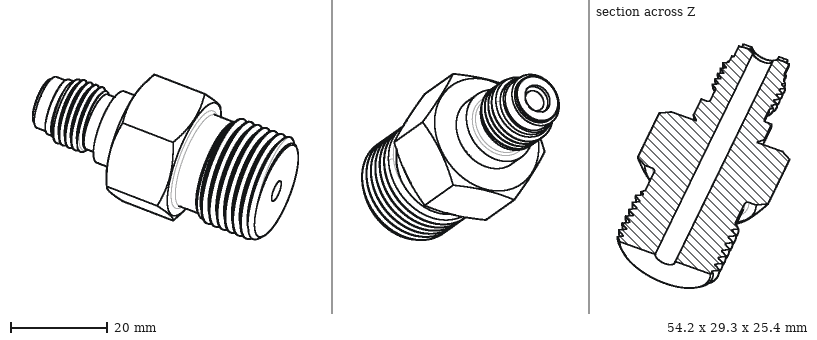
import cadquery as cq
import math


WASHER_THICKNESS = 0.8
WASHER_RADIUS = 5.05
WASHER_BORE_RADIUS = 3.0
WASHER_CHAMFER = 0.15

PILOT_END = 3.6
SMALL_THREAD_START = 4.9
SMALL_THREAD_END = 12.55
COLLAR_START = 15.65
HEX_START = 20.9
HEX_END = 35.1
LARGE_THREAD_START = 40.6
BODY_END = 54.15

BORE_RADIUS = 2.2
PILOT_RADIUS = 5.7
SMALL_NECK_RADIUS = 6.1
COLLAR_RADIUS = 7.95
LARGE_NECK_RADIUS = 10.2

COLLAR_CHAMFER = 1.1
SMALL_NECK_FILLET = 0.5
LARGE_NECK_FILLET = 0.65
BORE_FLARE_DEPTH = 0.45

HEX_ACROSS_FLATS = 25.4
HEX_CORNER_RADIUS = HEX_ACROSS_FLATS / math.sqrt(3)
HEX_FACE_RADIUS = 12.5
HEX_CHAMFER_ANGLE = math.radians(30)

SMALL_THREAD_RADIUS = 7.15
SMALL_THREAD_PITCH = 1.4
SMALL_THREAD_CREST = 6.3
LARGE_THREAD_RADIUS = 11.5
LARGE_THREAD_PITCH = 10.9 / 6
LARGE_THREAD_CREST = 43.0
THREAD_HALF_ANGLE = math.radians(30)
CREST_FLAT_PER_PITCH = 1 / 8
RIDGE_EMBEDMENT = 0.05


def revolve_about_x(profile):
    """Turn a closed profile, drawn as axial station by radius, about the X axis."""
    return profile.close().revolve(360, (0, 0, 0), (1, 0, 0))


def make_washer():
    """Flat ring with its outer edge chamfered on the exposed face."""
    washer = (
        cq.Workplane("YZ")
        .circle(WASHER_RADIUS)
        .circle(WASHER_BORE_RADIUS)
        .extrude(WASHER_THICKNESS)
    )
    return washer.faces("<X").edges(cq.selectors.RadiusNthSelector(1)).chamfer(WASHER_CHAMFER)


def make_turned_blank():
    """Everything turned on the body except the hex, the thread ridges and the bore."""
    profile = (
        cq.Workplane("XY")
        .moveTo(WASHER_THICKNESS, 0)
        .lineTo(WASHER_THICKNESS, PILOT_RADIUS)
        .lineTo(PILOT_END, PILOT_RADIUS)
        .lineTo(PILOT_END, SMALL_NECK_RADIUS)
        .lineTo(COLLAR_START - SMALL_NECK_FILLET, SMALL_NECK_RADIUS)
        .radiusArc((COLLAR_START, SMALL_NECK_RADIUS + SMALL_NECK_FILLET), -SMALL_NECK_FILLET)
        .lineTo(COLLAR_START, COLLAR_RADIUS)
        .lineTo(HEX_START - COLLAR_CHAMFER, COLLAR_RADIUS)
        .lineTo(HEX_START, COLLAR_RADIUS - COLLAR_CHAMFER)
        .lineTo(HEX_END, COLLAR_RADIUS - COLLAR_CHAMFER)
        .lineTo(HEX_END, LARGE_NECK_RADIUS + LARGE_NECK_FILLET)
        .radiusArc((HEX_END + LARGE_NECK_FILLET, LARGE_NECK_RADIUS), -LARGE_NECK_FILLET)
        .lineTo(BODY_END, LARGE_NECK_RADIUS)
        .lineTo(BODY_END, 0)
    )
    return revolve_about_x(profile)


def make_hex():
    """Hex with corners on +Y and -Y, its corners turned off by a cone at both ends."""
    prism = (
        cq.Workplane("YZ", origin=(HEX_START, 0, 0))
        .polygon(6, 2 * HEX_CORNER_RADIUS)
        .extrude(HEX_END - HEX_START)
    )
    corner_drop = (HEX_CORNER_RADIUS - HEX_FACE_RADIUS) * math.tan(HEX_CHAMFER_ANGLE)
    cones = revolve_about_x(
        cq.Workplane("XY")
        .moveTo(HEX_START, 0)
        .lineTo(HEX_START, HEX_FACE_RADIUS)
        .lineTo(HEX_START + corner_drop, HEX_CORNER_RADIUS)
        .lineTo(HEX_END - corner_drop, HEX_CORNER_RADIUS)
        .lineTo(HEX_END, HEX_FACE_RADIUS)
        .lineTo(HEX_END, 0)
    )
    return prism.intersect(cones)


def make_threaded_rod(start, end, root_radius, crest_radius, pitch, crest_station):
    """Rod with a right-hand helical ridge that runs out on 45 degree cones at both ends."""
    half_length = (end - start) / 2
    half_crest = pitch * CREST_FLAT_PER_PITCH / 2
    foot_radius = root_radius - RIDGE_EMBEDMENT
    half_foot = half_crest + (crest_radius - foot_radius) * math.tan(THREAD_HALF_ANGLE)

    turns_before = math.ceil((crest_station - start) / pitch) + 1
    helix_start = crest_station - turns_before * pitch
    helix_length = pitch * math.ceil((end + pitch - helix_start) / pitch)
    helix = cq.Wire.makeHelix(pitch, helix_length, root_radius)
    ridge = (
        cq.Workplane("XZ")
        .polyline([
            (foot_radius, -half_foot),
            (crest_radius, -half_crest),
            (crest_radius, half_crest),
            (foot_radius, half_foot),
        ])
        .close()
        .sweep(cq.Workplane(obj=helix), isFrenet=True)
        .rotate((0, 0, 0), (0, 1, 0), 90)
        .translate((helix_start, 0, 0))
    )
    core = (
        cq.Workplane("YZ", origin=(helix_start - pitch, 0, 0))
        .circle(root_radius)
        .extrude(helix_length + 2 * pitch)
    )
    envelope = revolve_about_x(
        cq.Workplane("XY")
        .moveTo(start, 0)
        .lineTo(start, root_radius)
        .lineTo(start + half_length, root_radius + half_length)
        .lineTo(end, root_radius)
        .lineTo(end, 0)
    )
    return core.union(ridge).intersect(envelope)


def make_bore():
    """Through bore, flared at the washer to the washer's own bore."""
    return revolve_about_x(
        cq.Workplane("XY")
        .moveTo(WASHER_THICKNESS, 0)
        .lineTo(WASHER_THICKNESS, WASHER_BORE_RADIUS)
        .lineTo(WASHER_THICKNESS + BORE_FLARE_DEPTH, BORE_RADIUS)
        .lineTo(BODY_END, BORE_RADIUS)
        .lineTo(BODY_END, 0)
    )


def make_body():
    """Turned blank, hex and both threads in one piece, bored through."""
    small_thread = make_threaded_rod(
        SMALL_THREAD_START,
        SMALL_THREAD_END,
        SMALL_NECK_RADIUS,
        SMALL_THREAD_RADIUS,
        SMALL_THREAD_PITCH,
        SMALL_THREAD_CREST,
    )
    large_thread = make_threaded_rod(
        LARGE_THREAD_START,
        BODY_END,
        LARGE_NECK_RADIUS,
        LARGE_THREAD_RADIUS,
        LARGE_THREAD_PITCH,
        LARGE_THREAD_CREST,
    )
    outside = make_turned_blank().union(make_hex()).union(small_thread).union(large_thread)
    return outside.cut(make_bore())


washer = make_washer()
body = make_body()

result = cq.Compound.makeCompound([washer.solids().val(), body.solids().val()])